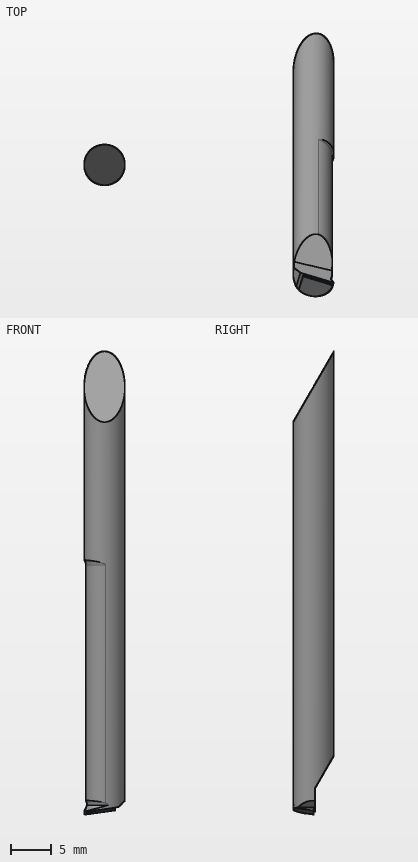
import cadquery as cq
import math

length = 56.58
radius = 2.5
beyond = 4 * radius

slant_slope = math.tan(math.radians(60))

rake_height = 0.2
rake_start = 7.2

neck_offset = 0.2
neck_radius = radius
neck_top = 30.5
neck_fillet = 1.0
head_offset = 0.32
head_radius = 2.47
head_top = 1.15
head_fillet = 1.3

edge_angle = math.radians(8)
clearance_slope = math.tan(math.radians(7))
tip_height = 0.35
nose_radius = 0.2
tip_side = 1.3
heel_start = 1.7
nose_x = nose_radius - radius


def edge_rise(x):
    """Height of the sloping cutting edge at x."""
    return math.tan(edge_angle) * (x - nose_x) + nose_radius * (1 - 1 / math.cos(edge_angle))


def rod():
    return cq.Workplane("XY").circle(radius).extrude(length)


def prism_along_x(points):
    """Extrude a YZ outline right across the rod."""
    return cq.Workplane("YZ").polyline(points).close().extrude(beyond, both=True)


def rear_slant():
    drop = 2 * radius * slant_slope
    return prism_along_x([
        (radius, length),
        (-radius, length - drop),
        (-beyond, length - drop),
        (-beyond, length + beyond),
        (radius, length + beyond),
    ])


def rake_flat():
    run_out = (radius - rake_height) * slant_slope
    return prism_along_x([
        (radius, rake_start),
        (rake_height, rake_start - run_out),
        (rake_height, -beyond),
        (beyond, -beyond),
        (beyond, rake_start),
    ])


def relief(offset, inner_radius, fillet, top, bottom_radius, bottom):
    """Ring that turns the rod down about an axis moved towards +X, filleted at its upper end."""
    diagonal = fillet * math.sqrt(0.5)
    return (
        cq.Workplane("XZ", origin=(offset, 0, 0))
        .moveTo(bottom_radius, bottom)
        .lineTo(inner_radius, top)
        .threePointArc(
            (inner_radius + fillet - diagonal, top + diagonal),
            (inner_radius + fillet, top + fillet),
        )
        .lineTo(beyond, top + fillet)
        .lineTo(beyond, bottom)
        .close()
        .revolve(360, (0, 0, 0), (0, 1, 0))
    )


def below_bar_end():
    """Space under the sloping bottom end of the bar and its heel chamfer."""
    heel_height = edge_rise(heel_start) + tip_height
    outline = [
        (-beyond, edge_rise(-beyond) + tip_height),
        (heel_start, heel_height),
        (beyond, heel_height + beyond - heel_start),
        (beyond, -beyond),
        (-beyond, -beyond),
    ]
    return cq.Workplane("XZ").polyline(outline).close().extrude(beyond, both=True)


def make_bar():
    flare_radius = radius + head_offset
    return (
        rod()
        .cut(rear_slant())
        .cut(relief(neck_offset, neck_radius, neck_fillet, neck_top, neck_radius, head_top))
        .cut(relief(head_offset, head_radius, head_fillet, head_top, flare_radius, tip_height))
        .cut(rake_flat())
        .cut(below_bar_end())
    )


def make_tip():
    """Thin layer under the bar with a rounded nose; its clearance rises away from the edge at Y = 0."""
    nose_turn = (math.pi / 2 + edge_angle) / 2
    outline = (
        cq.Workplane("XZ")
        .moveTo(-radius, nose_radius)
        .threePointArc(
            (nose_x - nose_radius * math.cos(nose_turn), nose_radius - nose_radius * math.sin(nose_turn)),
            (nose_x + nose_radius * math.sin(edge_angle), nose_radius * (1 - math.cos(edge_angle))),
        )
        .lineTo(tip_side, edge_rise(tip_side))
        .lineTo(tip_side, radius)
        .lineTo(-radius, radius)
        .close()
    )
    sloping_sweep = cq.Vector(0, -radius, clearance_slope * radius)
    blank = cq.Solid.extrudeLinear(outline.val(), [], sloping_sweep)
    return cq.Workplane(blank).intersect(rod()).intersect(below_bar_end())


bar = make_bar()
tip = make_tip()
result = cq.Compound.makeCompound([bar.val(), tip.val()])